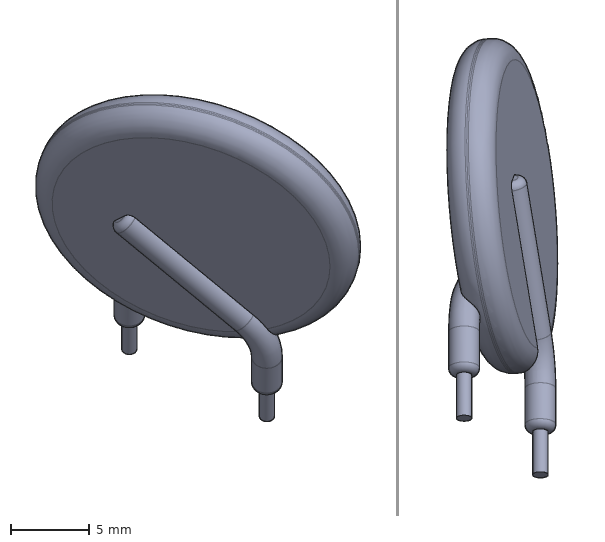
import cadquery as cq
import math

disc_radius = 10.75
disc_thickness = 3.2
disc_edge_fillet = 1.48

overall_depth = 4.8
sleeve_radius = 1.0
wire_radius = 0.5
lead_spacing = 10.0
sleeve_length = 3.0
wire_length = 3.0
sleeve_end_fillet = 0.5
lead_offset = overall_depth / 2 - sleeve_radius

overall_height = 27.5
disc_bottom = sleeve_length + wire_length - overall_height / 2
disc_center_z = disc_bottom + disc_radius
sleeve_bottom = disc_bottom - sleeve_length

bend_radius = 4.5
front_bend_angle = 48.0
back_bend_angle = 45.5
front_arm_length = 11.1
back_arm_length = 10.85


def make_disc():
    disc = (
        cq.Workplane("XZ", origin=(0, 0, disc_center_z))
        .circle(disc_radius)
        .extrude(disc_thickness / 2, both=True)
    )
    return disc.faces("<Y or >Y").edges().fillet(disc_edge_fillet)


def make_lead(side, bend_angle, arm_length):
    """Lead at x = side * spacing / 2, bent inwards; side +1 lies on the -Y face."""
    x = side * lead_spacing / 2
    y = -side * lead_offset

    def bend_point(degrees):
        angle = math.radians(degrees)
        inward = bend_radius * (1 - math.cos(angle))
        return x - side * inward, disc_bottom + bend_radius * math.sin(angle)

    bend_end_x, bend_end_z = bend_point(bend_angle)
    turn = math.radians(bend_angle)
    tip = (
        bend_end_x - side * arm_length * math.sin(turn),
        bend_end_z + arm_length * math.cos(turn),
    )
    path = (
        cq.Workplane("XZ", origin=(0, y, 0))
        .moveTo(x, sleeve_bottom)
        .lineTo(x, disc_bottom)
        .threePointArc(bend_point(bend_angle / 2), (bend_end_x, bend_end_z))
        .lineTo(*tip)
    )
    sleeve = cq.Workplane("XY", origin=(x, y, sleeve_bottom)).circle(sleeve_radius).sweep(path)
    tip_face = cq.selectors.NearestToPointSelector((tip[0], y, tip[1]))
    end_faces = sleeve.faces("<Z").add(sleeve.faces(tip_face))
    sleeve = end_faces.edges().fillet(sleeve_end_fillet)
    wire = (
        cq.Workplane("XY", origin=(x, y, sleeve_bottom - wire_length))
        .circle(wire_radius)
        .extrude(wire_length + sleeve_length)
    )
    return sleeve.union(wire)


front_lead = make_lead(1, front_bend_angle, front_arm_length)
back_lead = make_lead(-1, back_bend_angle, back_arm_length)
result = make_disc().union(front_lead).union(back_lead)